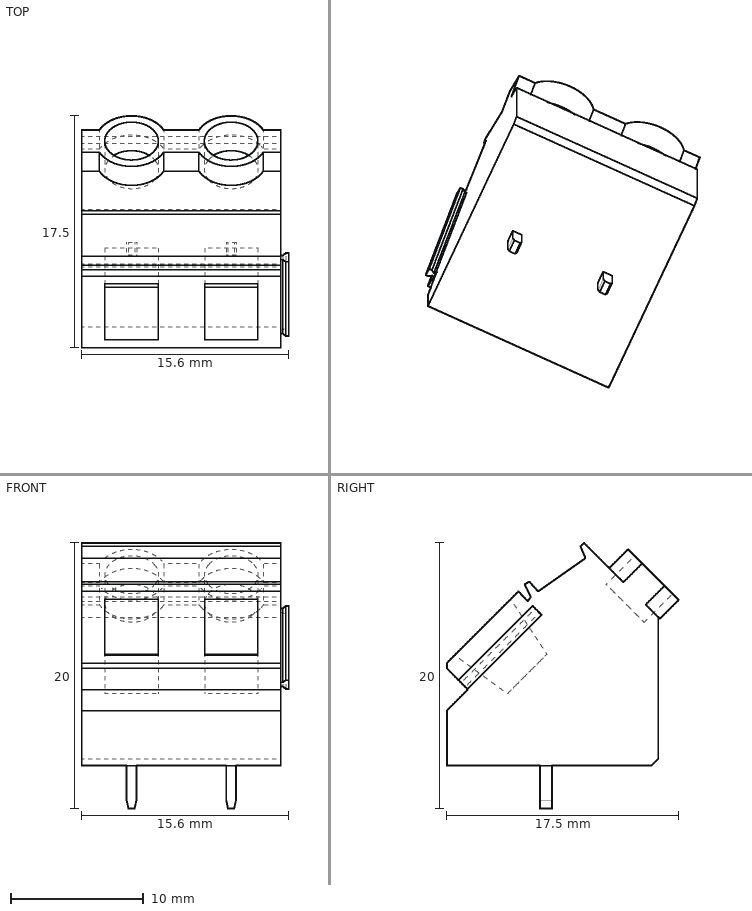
import cadquery as cq
import math


SLOPE = math.sqrt(0.5)

width = 15.0
pole_pitch = 7.5
pole_count = 2
pole_x = [(i + 0.5) * pole_pitch for i in range(pole_count)]
depth = 15.95
rear_chamfer = 0.52

notch_bottom_z = 4.15
notch_depth = 1.58
notch_top_z = 7.32
entry_base_z = 7.72
entry_rise = 5.4

screw_face_sum = 27.1
crest_y = 10.35
bar_front_y = 13.3
bar_length = 2.38
bar_height = 2.02

collar_radius = 2.7
bore_radius = 2.02
bore_depth = 3.05

funnel_width = 4.0
funnel_mouth_start = 0.85
funnel_mouth_length = 5.95
funnel_depth = 4.85
funnel_lower_inset = 0.75
funnel_upper_inset = 1.0

rail_neck_height = 0.15
rail_taper_height = 0.25
rail_height = 0.6
rail_neck_width = 0.45
rail_width = 0.95
rail_length = 7.9
rail_start_y = 0.88
rail_start_z = 6.45

pin_width = 0.75
pin_tip_width = 0.48
pin_thickness = 0.92
pin_length = 3.25
pin_taper_length = 0.65
pin_center_y = 7.48


def screw_face_z(y):
    return screw_face_sum - y


def make_housing_block():
    """Constant side profile extruded across the full width."""
    bar_rise = bar_height * SLOPE
    bar_back_y = bar_front_y + bar_length * SLOPE
    profile = [
        (0, 0),
        (0, notch_bottom_z),
        (notch_depth, notch_bottom_z + notch_depth),
        (0, notch_top_z),
        (0, entry_base_z),
        (entry_rise, entry_base_z + entry_rise),
        (6.1, 12.38),
        (6.32, 12.7),
        (5.85, 13.65),
        (6.22, 13.85),
        (6.88, 13.12),
        (10.45, 15.62),
        (10.05, 16.5),
        (crest_y, screw_face_z(crest_y)),
        (bar_front_y, screw_face_z(bar_front_y)),
        (bar_front_y + bar_rise, screw_face_z(bar_front_y) + bar_rise),
        (bar_back_y + bar_rise, screw_face_z(bar_back_y) + bar_rise),
        (bar_back_y, screw_face_z(bar_back_y)),
        (depth, screw_face_z(depth)),
        (depth, rear_chamfer),
        (depth - rear_chamfer, 0),
    ]
    return cq.Workplane("YZ").polyline(profile).close().extrude(width)


def screw_plane(x):
    """Plane on the screw face, centred on a collar, with its normal pointing outward."""
    y = bar_front_y + bar_length * SLOPE / 2
    return cq.Plane(origin=(x, y, screw_face_z(y)), xDir=(1, 0, 0), normal=(0, 1, 1))


def make_collar(x):
    return cq.Workplane(screw_plane(x)).circle(collar_radius).extrude(bar_height)


def make_bore(x):
    top = cq.Workplane(screw_plane(x)).workplane(offset=bar_height)
    return top.circle(bore_radius).extrude(-bore_depth)


def make_funnel(x):
    """Wire entry that narrows inward between its sloped upper and lower walls."""
    entry_plane = cq.Plane(
        origin=(x - funnel_width / 2, 0, entry_base_z), xDir=(0, 1, 1), normal=(1, 0, 0)
    )
    mouth_end = funnel_mouth_start + funnel_mouth_length
    profile = [
        (funnel_mouth_start, 0),
        (mouth_end, 0),
        (mouth_end - funnel_upper_inset, -funnel_depth),
        (funnel_mouth_start + funnel_lower_inset, -funnel_depth),
    ]
    return cq.Workplane(entry_plane).polyline(profile).close().extrude(funnel_width)


def make_rail():
    """Dovetail section swept up the slope; local X is across the rail, local Y is +X."""
    center_shift = rail_width / 2 * SLOPE
    rail_plane = cq.Plane(
        origin=(width, rail_start_y + center_shift, rail_start_z - center_shift),
        xDir=(0, 1, -1),
        normal=(0, -1, -1),
    )
    neck = rail_neck_width / 2
    head = rail_width / 2
    shoulder = rail_neck_height + rail_taper_height
    section = [
        (-neck, 0),
        (-neck, rail_neck_height),
        (-head, shoulder),
        (-head, rail_height),
        (head, rail_height),
        (head, shoulder),
        (neck, rail_neck_height),
        (neck, 0),
    ]
    return cq.Workplane(rail_plane).polyline(section).close().extrude(-rail_length)


def make_housing():
    housing = make_housing_block().union(make_rail())
    for x in pole_x:
        housing = housing.union(make_collar(x))
    for x in pole_x:
        housing = housing.cut(make_bore(x))
        housing = housing.cut(make_funnel(x))
    return housing


def make_pin(x):
    """Flat pin standing against the underside, its tip tapered in X only."""
    back_plane = cq.Plane(
        origin=(x, pin_center_y + pin_thickness / 2, 0), xDir=(1, 0, 0), normal=(0, -1, 0)
    )
    shank = pin_width / 2
    tip = pin_tip_width / 2
    taper_z = pin_taper_length - pin_length
    outline = [
        (-shank, 0),
        (-shank, taper_z),
        (-tip, -pin_length),
        (tip, -pin_length),
        (shank, taper_z),
        (shank, 0),
    ]
    return cq.Workplane(back_plane).polyline(outline).close().extrude(pin_thickness)


housing = make_housing()
pins = [make_pin(x) for x in pole_x]

result = cq.Compound.makeCompound([housing.val(), *[pin.val() for pin in pins]])